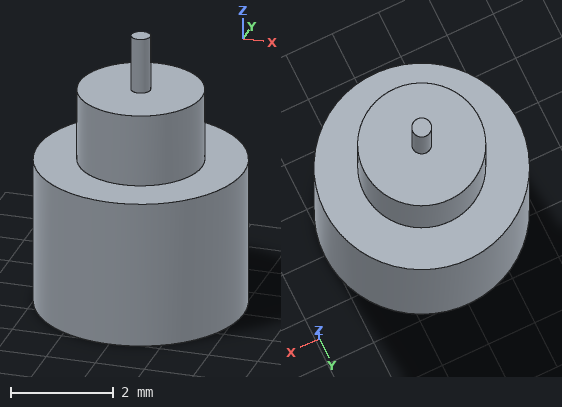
import cadquery as cq

total_height = 5.7
base_diameter = 4.2
base_height = 3.05
collar_diameter = 2.495
collar_height = 1.5
pin_diameter = 0.39

collar_top = base_height + collar_height
pin_height = total_height - collar_top


def cylinder(diameter, height, bottom):
    """Upright cylinder on the Z axis, starting at the given height."""
    return cq.Workplane("XY").workplane(offset=bottom).circle(diameter / 2).extrude(height)


base = cylinder(base_diameter, base_height, 0)
collar = cylinder(collar_diameter, collar_height, base_height)
pin = cylinder(pin_diameter, pin_height, collar_top)

result = base.union(collar).union(pin)